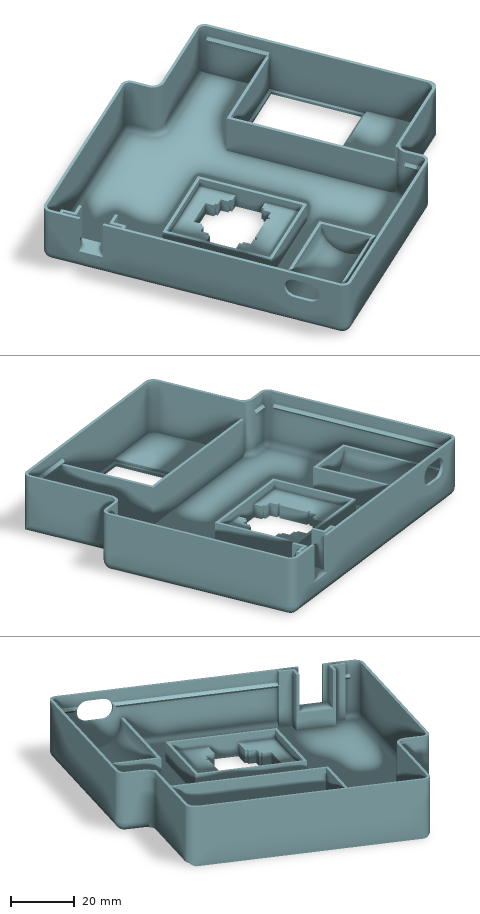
import cadquery as cq
WIDTH = 104.0
LENGTH = 105.2
HEIGHT = 20.0
BODY_LENGTH = 70.2
TAB_WIDTH = 81.2
WALL = 1.0
FLOOR = 1.0
EMBED = 0.1
OUTER_RADIUS = 3.0
INNER_RADIUS = OUTER_RADIUS - WALL
ROUNDING_SLACK = 0.01
REAR_OVERRUN = 10.0
SELECT = 0.1

FRONT = -LENGTH / 2
BACK = LENGTH / 2
STEP = FRONT + BODY_LENGTH
INNER_FRONT = FRONT + WALL
INNER_BACK = BACK - WALL
INNER_STEP = STEP - WALL
INNER_SIDE = WIDTH / 2 - WALL
TAB_INNER_SIDE = TAB_WIDTH / 2 - WALL

RIDGE_REACH = 0.9
RIDGE_Z = 15.0
RIDGE_END_GAP = 3.0

WINDOW_WIDTH = 31.0
WINDOW_LENGTH = 30.5
LEDGE = 1.0
WINDOW_WALL_TOP = 14.1
WINDOW_SIDE = WINDOW_WIDTH / 2 + LEDGE
COMPARTMENT_FRONT = INNER_BACK - WINDOW_LENGTH - 2 * LEDGE
RAISED_FLOOR = 2.0
COMPARTMENT_RADIUS = 3.0

FRAME_WIDTH = 35.0
FRAME_LENGTH = 28.0
FRAME_X = 0.4
FRAME_Y = FRONT + 33.1
FRAME_TOP = 7.5
PLATE_TOP = 4.5
CROSS_Y = FRONT + 34.9
CROSS_HALF = 8.5
ARM_HALF = 5.0
LEFT_ARM_REACH = 12.3
RELIEF = 0.9

TROUGH_RADIUS = 8.5
TROUGH_X = 36.5
TROUGH_END = FRONT + 37.3
TROUGH_AXIS_Z = FLOOR + TROUGH_RADIUS
TROUGH_BLOCK_TOP = 10.4
PORT_WIDTH = 12.0
PORT_HEIGHT = 7.0
PORT_Z = 14.0
PORT_DEPTH = WALL + RIDGE_REACH

SWITCH_X = -35.1
SWITCH_FLOOR = 7.0
SWITCH_NOTCH_WIDTH = 8.0
SWITCH_BODY_WIDTH = 11.2
SWITCH_DEPTH = 6.5
SWITCH_ARM = 1.0
FLANGE_WIDTH = 20.0
FLANGE_THICKNESS = 0.6
FLANGE_BLOCK_WIDTH = FLANGE_WIDTH + 2 * WALL
FLANGE_BLOCK_DEPTH = FLANGE_THICKNESS + 2 * WALL


def box(x_min, x_max, y_min, y_max, z_min, z_max):
    size = (x_max - x_min, y_max - y_min, z_max - z_min)
    return cq.Workplane("XY").box(*size, centered=False).translate((x_min, y_min, z_min))


def centered_box(x_mid, width, y_min, y_max, z_min, z_max):
    return box(x_mid - width / 2, x_mid + width / 2, y_min, y_max, z_min, z_max)


def stepped_prism(inset, z_min, rear_y, convex_radius, concave_radius):
    """Upright T-shaped prism with rounded corners."""
    half_body = WIDTH / 2 - inset
    half_tab = TAB_WIDTH / 2 - inset
    front_y = FRONT + inset
    step_y = STEP - inset
    body = box(-half_body, half_body, front_y, step_y, z_min, HEIGHT)
    tab = box(-half_tab, half_tab, front_y, rear_y, z_min, HEIGHT)
    prism = body.union(tab)
    corners = [
        (half_body, front_y, convex_radius),
        (half_body, step_y, convex_radius),
        (half_tab, step_y, concave_radius),
        (half_tab, rear_y, convex_radius),
    ]
    for x, y, radius in corners:
        across = cq.selectors.BoxSelector(
            (-x - SELECT, y - SELECT, z_min), (x + SELECT, y + SELECT, HEIGHT)
        )
        between = cq.selectors.BoxSelector(
            (-x + SELECT, y - SELECT, z_min), (x - SELECT, y + SELECT, HEIGHT)
        )
        prism = prism.edges("|Z").edges(across - between).fillet(radius)
    return prism


def stepped_block(inset, z_min, convex_radius, concave_radius):
    """Stepped prism whose bottom edge is rounded everywhere but along the rear."""
    rear_y = BACK - inset
    prism = stepped_prism(inset, z_min, rear_y, convex_radius, concave_radius)
    overlong = stepped_prism(inset, z_min, rear_y + REAR_OVERRUN, convex_radius, concave_radius)
    return prism.intersect(overlong.faces("<Z").edges().fillet(convex_radius - ROUNDING_SLACK))


def tray():
    """Thin-walled open tray."""
    outside = stepped_block(0, 0, OUTER_RADIUS, OUTER_RADIUS)
    inside = stepped_block(WALL, FLOOR, INNER_RADIUS, OUTER_RADIUS + WALL)
    return outside.cut(inside)


def ridge(start, length, angle):
    """Triangular ridge starting at a point, with its wall on the right of its run."""
    profile = [(0, -RIDGE_REACH), (RIDGE_REACH, 0), (0, RIDGE_REACH)]
    bar = cq.Workplane("YZ").polyline(profile).close().extrude(length)
    return bar.rotate((0, 0, 0), (0, 0, 1), angle).translate((*start, RIDGE_Z))


def ridges():
    """Ridges on the front and right walls, the right step and the rear wall left of the window."""
    corner_x = INNER_SIDE - RIDGE_END_GAP
    side_start = INNER_FRONT + RIDGE_END_GAP
    side_end = INNER_STEP - RIDGE_END_GAP
    step_end = TAB_WIDTH / 2 + OUTER_RADIUS
    step_start = INNER_SIDE - INNER_RADIUS
    rear_length = TAB_INNER_SIDE - INNER_RADIUS - WINDOW_SIDE
    bars = ridge((-corner_x, INNER_FRONT), 2 * corner_x, 0)
    bars = bars.union(ridge((INNER_SIDE, side_start), side_end - side_start, 90))
    bars = bars.union(ridge((step_start, INNER_STEP), step_start - step_end, 180))
    return bars.union(ridge((-WINDOW_SIDE, INNER_BACK), rear_length, 180))


def add_window_compartment(part):
    """Square-walled compartment with a raised floor beside the recessed window."""
    wall_front = COMPARTMENT_FRONT - WALL
    lining = stepped_prism(0, FLOOR, BACK, OUTER_RADIUS, OUTER_RADIUS)
    lining = lining.intersect(
        box(-WINDOW_SIDE - WALL, WIDTH, wall_front, INNER_BACK, FLOOR, HEIGHT)
    )
    above_walls = box(
        -WINDOW_SIDE - WALL, TAB_INNER_SIDE, wall_front, COMPARTMENT_FRONT, WINDOW_WALL_TOP, HEIGHT
    )
    above_left_wall = box(
        -WINDOW_SIDE - WALL, -WINDOW_SIDE, wall_front, INNER_BACK, WINDOW_WALL_TOP, HEIGHT
    )
    hollow = box(
        -WINDOW_SIDE, TAB_INNER_SIDE, COMPARTMENT_FRONT, INNER_BACK, RAISED_FLOOR, HEIGHT
    )
    hollow = hollow.edges("|Z and >X and >Y").fillet(COMPARTMENT_RADIUS)
    recess = centered_box(
        0, 2 * WINDOW_SIDE, COMPARTMENT_FRONT, INNER_BACK, FLOOR, RAISED_FLOOR
    )
    opening = centered_box(
        0, WINDOW_WIDTH, COMPARTMENT_FRONT + LEDGE, INNER_BACK - LEDGE, 0, FLOOR
    )
    lining = lining.cut(above_walls).cut(above_left_wall)
    return part.union(lining).cut(hollow).cut(recess).cut(opening)


def keypad_opening():
    """Square opening with three arms and small notches at the arm corners."""
    def bar(x_min, x_max, y_min, y_max):
        return box(x_min, x_max, CROSS_Y + y_min, CROSS_Y + y_max, 0, PLATE_TOP)

    notch_side = ARM_HALF + RELIEF
    notch_reach = CROSS_HALF + RELIEF
    half = FRAME_LENGTH / 2
    opening = bar(-CROSS_HALF, CROSS_HALF, -CROSS_HALF, CROSS_HALF)
    opening = opening.union(
        box(-ARM_HALF, ARM_HALF, FRAME_Y - half, FRAME_Y + half, 0, PLATE_TOP)
    )
    opening = opening.union(bar(-LEFT_ARM_REACH, 0, -ARM_HALF, ARM_HALF))
    opening = opening.union(bar(-notch_side, notch_side, -notch_reach, notch_reach))
    for side in (-1, 1):
        low, high = sorted((side * ARM_HALF, side * notch_side))
        opening = opening.union(bar(-notch_reach, notch_reach, low, high))
    return opening


def add_keypad_frame(part):
    """Rectangular frame around a thick plate, with the keypad opening through the plate."""
    def block(margin, z_min, z_max):
        half = FRAME_LENGTH / 2 + margin
        width = FRAME_WIDTH + 2 * margin
        return centered_box(FRAME_X, width, FRAME_Y - half, FRAME_Y + half, z_min, z_max)

    frame = block(WALL, FLOOR - EMBED, FRAME_TOP).cut(block(0, PLATE_TOP, FRAME_TOP))
    return part.union(frame).cut(keypad_opening())


def add_trough(part):
    """Block with a round-bottomed trough along Y, and a slotted port through the front wall."""
    width = 2 * (TROUGH_RADIUS + WALL)
    block = centered_box(
        TROUGH_X, width, INNER_FRONT, TROUGH_END + WALL, FLOOR - EMBED, TROUGH_BLOCK_TOP
    )
    trough = (
        cq.Workplane("XZ", origin=(TROUGH_X, INNER_FRONT, TROUGH_AXIS_Z))
        .circle(TROUGH_RADIUS)
        .extrude(-(TROUGH_END - INNER_FRONT))
    )
    port = (
        cq.Workplane("XZ", origin=(TROUGH_X, FRONT, PORT_Z))
        .slot2D(PORT_WIDTH, PORT_HEIGHT)
        .extrude(-PORT_DEPTH)
    )
    return part.union(block).cut(trough).cut(port)


def add_switch_holder(part):
    """Full-height block at the front wall, hollowed for a slide switch and its thin flange."""
    holder_width = SWITCH_BODY_WIDTH + 2 * SWITCH_ARM
    holder = centered_box(
        SWITCH_X, holder_width, INNER_FRONT, FRONT + SWITCH_DEPTH, FLOOR - EMBED, HEIGHT
    )
    flange_block = centered_box(
        SWITCH_X, FLANGE_BLOCK_WIDTH, INNER_FRONT, FRONT + FLANGE_BLOCK_DEPTH, FLOOR - EMBED, HEIGHT
    )
    body = centered_box(
        SWITCH_X, SWITCH_BODY_WIDTH, INNER_FRONT, FRONT + SWITCH_DEPTH, SWITCH_FLOOR, HEIGHT
    )
    flange = centered_box(
        SWITCH_X, FLANGE_WIDTH, INNER_FRONT, INNER_FRONT + FLANGE_THICKNESS, SWITCH_FLOOR, HEIGHT
    )
    notch = centered_box(SWITCH_X, SWITCH_NOTCH_WIDTH, FRONT, INNER_FRONT, SWITCH_FLOOR, HEIGHT)
    return part.union(holder).union(flange_block).cut(body).cut(flange).cut(notch)


part = tray().union(ridges())
part = add_window_compartment(part)
part = add_keypad_frame(part)
part = add_trough(part)
result = add_switch_holder(part)